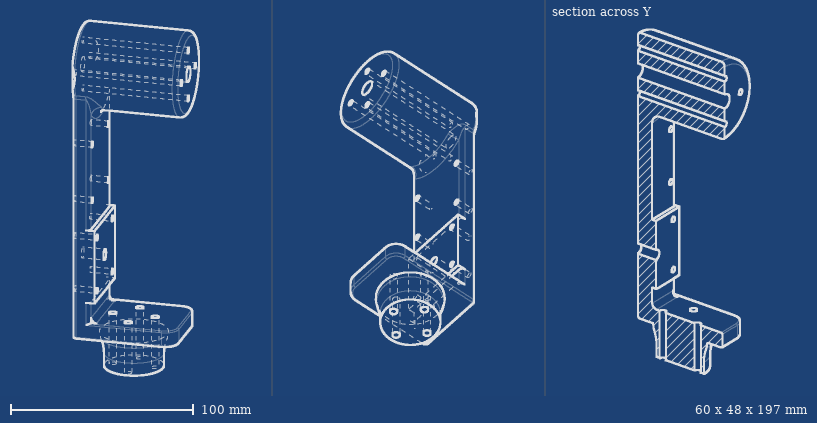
import cadquery as cq

head_diameter = 48.0
head_length = 60.0
head_radius = head_diameter / 2
head_front_round = 2.5
head_side_round_height = 14.0
head_side_round_depth = 2.2
head_side_round_radius = 4.0

plate_width = 42.0
half_width = plate_width / 2
plate_thickness = 10.0
foot_thickness = 9.5
foot_length = 58.3
foot_bottom = -153.0
foot_top = foot_bottom + foot_thickness
foot_corner_radius = 7.7
outer_round = 2.0
inner_round = 2.4
foot_top_round = 0.8
foot_bottom_round = 1.2
elbow_radius = 3.0
neck_radius = 5.0

pad_height = 42.3
pad_rise = 2.5
pad_center_z = -110.0
motor_hole_spacing = 31.0
motor_hole_diameter = 3.1
shaft_hole_diameter = 6.0

head_bore_diameter = 8.5
head_hole_circle_radius = 14.0
head_hole_diameter = 3.2

upper_hole_diameter = 3.2
upper_hole_spacing_y = 33.2
upper_hole_heights = (-40.0, -72.6)

boss_center_x = 29.1
boss_height = 19.98
boss_diameter = 33.0
boss_radius = boss_diameter / 2
boss_neck_diameter = 36.8
boss_neck_radius = boss_neck_diameter / 2
boss_top_radius = 18.9
boss_straight_height = 7.3
boss_flare_height = 9.5

foot_hole_diameter = 4.1
foot_hole_circle_radius = 12.0
foot_hole_count = 4


def box_between(x_range, y_range, z_range):
    """Box spanning the given (low, high) ranges."""
    size = [high - low for low, high in (x_range, y_range, z_range)]
    corner = (x_range[0], y_range[0], z_range[0])
    return cq.Workplane("XY").box(*size, centered=False).translate(corner)


def x_holes(diameter, points, length):
    """Cutters along X, starting at x = 0, at (y, z) points."""
    return cq.Workplane("YZ").pushPoints(points).circle(diameter / 2).extrude(length)


def make_frame():
    """Upright plate, foot and head in one body with blended joints."""
    sides = (-half_width, half_width)
    upright = box_between((0, plate_thickness), sides, (foot_bottom, 0))
    upright = upright.edges("|Z and >X").fillet(inner_round)

    foot = box_between((0, foot_length), sides, (foot_bottom, foot_top))
    foot = foot.edges("|Z and >X").fillet(foot_corner_radius)
    foot = foot.edges(">Z and (not <X)").fillet(foot_top_round)

    head = cq.Workplane("YZ").circle(head_radius).extrude(head_length)
    head = head.faces(">X").edges().fillet(head_front_round)

    frame = upright.union(foot).union(head)
    margin = 1.0
    neck_edges = cq.selectors.BoxSelector(
        (-margin, -half_width - margin, -head_radius - margin),
        (plate_thickness + margin, half_width + margin, -margin),
        boundingbox=True,
    )
    frame = frame.edges(neck_edges).fillet(neck_radius)
    frame = frame.faces("<X").edges("not <Z").fillet(outer_round)
    frame = frame.faces("<Z").edges().fillet(foot_bottom_round)
    return frame


def make_elbow():
    """Concave fillet in the corner between the upright and the foot."""
    length = plate_width - 2 * inner_round
    return (
        cq.Workplane("XZ", origin=(plate_thickness, length / 2, foot_top))
        .lineTo(elbow_radius, 0)
        .radiusArc((0, elbow_radius), elbow_radius)
        .close()
        .extrude(length)
    )


def make_pad():
    """Raised pad, flush with the sides of the upright."""
    return box_between(
        (plate_thickness - inner_round, plate_thickness + pad_rise),
        (-half_width, half_width),
        (pad_center_z - pad_height / 2, pad_center_z + pad_height / 2),
    )


def make_boss():
    """Round boss: a straight end, a curved flare and a cone up to the foot."""
    flare_width = boss_neck_radius - boss_radius
    flare_radius = (flare_width**2 + boss_flare_height**2) / (2 * flare_width)
    return (
        cq.Workplane("XZ", origin=(boss_center_x, 0, foot_bottom - boss_height))
        .lineTo(boss_radius, 0)
        .lineTo(boss_radius, boss_straight_height)
        .radiusArc((boss_neck_radius, boss_straight_height + boss_flare_height), flare_radius)
        .lineTo(boss_top_radius, boss_height)
        .lineTo(0, boss_height)
        .close()
        .revolve(360, (0, 0, 0), (0, 1, 0))
    )


def head_side_cutters():
    """Cutters that round the rear rim of the head back to the plate sides."""
    corner = (
        cq.Workplane("XY", origin=(0, 0, -head_side_round_height / 2))
        .moveTo(0, half_width)
        .radiusArc((head_side_round_depth, head_radius), head_side_round_radius)
        .lineTo(0, head_radius)
        .close()
        .extrude(head_side_round_height)
    )
    return corner.union(corner.mirror("XZ"))


def head_cutters():
    """Center bore and four screw holes through the head."""
    r = head_hole_circle_radius
    bore = x_holes(head_bore_diameter, [(0, 0)], head_length)
    screws = x_holes(head_hole_diameter, [(r, 0), (0, r), (-r, 0), (0, -r)], head_length)
    return bore.union(screws)


def plate_cutters():
    """Motor holes through the pad and screw holes higher up the upright."""
    depth = plate_thickness + pad_rise
    motor_offset = motor_hole_spacing / 2
    upper_offset = upper_hole_spacing_y / 2
    motor_points = [
        (y, pad_center_z + dz)
        for y in (-motor_offset, motor_offset)
        for dz in (-motor_offset, motor_offset)
    ]
    upper_points = [(y, z) for y in (-upper_offset, upper_offset) for z in upper_hole_heights]
    shaft = x_holes(shaft_hole_diameter, [(0, pad_center_z)], depth)
    motor_screws = x_holes(motor_hole_diameter, motor_points, depth)
    upper_screws = x_holes(upper_hole_diameter, upper_points, depth)
    return shaft.union(motor_screws).union(upper_screws)


def foot_cutters():
    """Four vertical screw holes through the foot and the boss."""
    return (
        cq.Workplane("XY", origin=(boss_center_x, 0, foot_bottom - boss_height))
        .polarArray(foot_hole_circle_radius, 0, 360, foot_hole_count)
        .circle(foot_hole_diameter / 2)
        .extrude(boss_height + foot_thickness)
    )


result = make_frame().union(make_elbow()).union(make_pad()).union(make_boss())
result = result.cut(head_side_cutters())
result = result.cut(head_cutters()).cut(plate_cutters()).cut(foot_cutters())